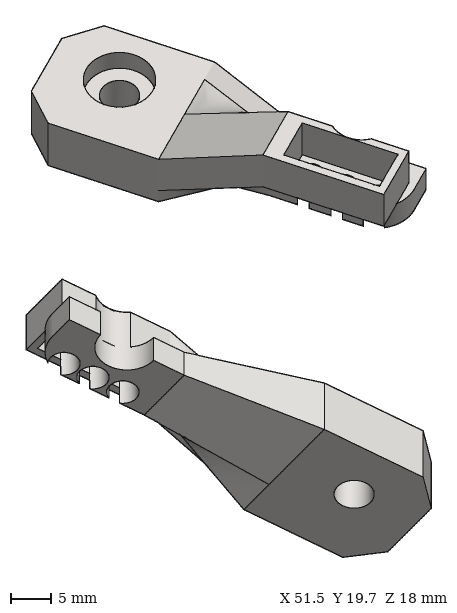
import cadquery as cq

PLATE_LENGTH = 19.0
PLATE_FRONT = 2.15
PLATE_BACK = 19.65
PLATE_HEIGHT = 8.05
PLATE_CHAMFER = 4.0
BOLT_X, BOLT_Y = 9.3, 12.25
BOLT_DIAMETER = 5.0
HEAD_DIAMETER = 9.0
HEAD_DEPTH = 3.0

HEAD_START = 34.1
TOTAL_HEIGHT = 18.0
BOX_END = 50.45
BOX_BACK = 7.85
SHELF_END = 51.5
SHELF_FRONT = PLATE_FRONT
SHELF_BACK = 10.85
SHELF_BOTTOM = PLATE_HEIGHT
SHELF_TOP = 12.0
SHELF_CORNER_RADIUS = 5.0

POCKET_WALL = 1.05
POCKET_START = 36.45

NOTCH_X = 42.75
NOTCH_RADIUS = 4.0
PIN_DIAMETER = 4.0
PIN_Y = 4.0
PIN_POSITIONS = (38.6, 43.15, 47.55)


def block(x0, x1, y0, y1, z0, z1):
    """Axis-aligned box between opposite corners."""
    return cq.Workplane("XY").box(x1 - x0, y1 - y0, z1 - z0, centered=False).translate((x0, y0, z0))


def upright_cylinder(x, y, diameter, z0, z1):
    return cq.Workplane("XY", origin=(x, y, z0)).circle(diameter / 2).extrude(z1 - z0)


def mounting_plate():
    plate = block(0, PLATE_LENGTH, PLATE_FRONT, PLATE_BACK, 0, PLATE_HEIGHT)
    plate = plate.edges("|Z and <X").chamfer(PLATE_CHAMFER)
    bolt_hole = upright_cylinder(BOLT_X, BOLT_Y, BOLT_DIAMETER, 0, PLATE_HEIGHT)
    counterbore = upright_cylinder(
        BOLT_X, BOLT_Y, HEAD_DIAMETER, PLATE_HEIGHT - HEAD_DEPTH, PLATE_HEIGHT
    )
    return plate.cut(bolt_hole).cut(counterbore)


def arm():
    """Ruled transition from the plate's rectangle to the head's stepped section."""
    box_height = TOTAL_HEIGHT - SHELF_TOP
    shelf_height = SHELF_TOP - SHELF_BOTTOM

    plate_width = PLATE_BACK - PLATE_FRONT
    top_path = SHELF_BACK + box_height
    front_path = box_height + SHELF_FRONT
    bottom_path = SHELF_BACK - SHELF_FRONT + shelf_height
    top_split_front = PLATE_FRONT + plate_width * BOX_BACK / top_path
    top_split_back = PLATE_FRONT + plate_width * (BOX_BACK + box_height) / top_path
    front_split = PLATE_HEIGHT * SHELF_FRONT / front_path
    bottom_split = PLATE_FRONT + plate_width * shelf_height / bottom_path

    plate_section = [
        (PLATE_FRONT, front_split),
        (PLATE_FRONT, PLATE_HEIGHT),
        (top_split_front, PLATE_HEIGHT),
        (top_split_back, PLATE_HEIGHT),
        (PLATE_BACK, PLATE_HEIGHT),
        (PLATE_BACK, 0),
        (bottom_split, 0),
        (PLATE_FRONT, 0),
    ]
    head_section = [
        (0, SHELF_TOP),
        (0, TOTAL_HEIGHT),
        (BOX_BACK, TOTAL_HEIGHT),
        (BOX_BACK, SHELF_TOP),
        (SHELF_BACK, SHELF_TOP),
        (SHELF_BACK, SHELF_BOTTOM),
        (SHELF_FRONT, SHELF_BOTTOM),
        (SHELF_FRONT, SHELF_TOP),
    ]
    return (
        cq.Workplane("YZ", origin=(PLATE_LENGTH, 0, 0))
        .polyline(plate_section)
        .close()
        .workplane(offset=HEAD_START - PLATE_LENGTH)
        .polyline(head_section)
        .close()
        .loft(ruled=True)
    )


def head():
    box = block(HEAD_START, BOX_END, 0, BOX_BACK, SHELF_TOP, TOTAL_HEIGHT)
    pocket = block(
        POCKET_START, BOX_END - POCKET_WALL,
        POCKET_WALL, BOX_BACK - POCKET_WALL,
        SHELF_TOP, TOTAL_HEIGHT,
    )
    shelf = block(HEAD_START, SHELF_END, SHELF_FRONT, SHELF_BACK, SHELF_BOTTOM, SHELF_TOP)
    shelf = shelf.edges("|Z and >X and <Y").fillet(SHELF_CORNER_RADIUS)

    for pin_x in PIN_POSITIONS:
        shelf = shelf.cut(upright_cylinder(pin_x, PIN_Y, PIN_DIAMETER, SHELF_BOTTOM, SHELF_TOP))

    notch = upright_cylinder(NOTCH_X, SHELF_BACK, 2 * NOTCH_RADIUS, SHELF_BOTTOM, TOTAL_HEIGHT)
    return box.cut(pocket).union(shelf).cut(notch)


result = mounting_plate().union(arm()).union(head())